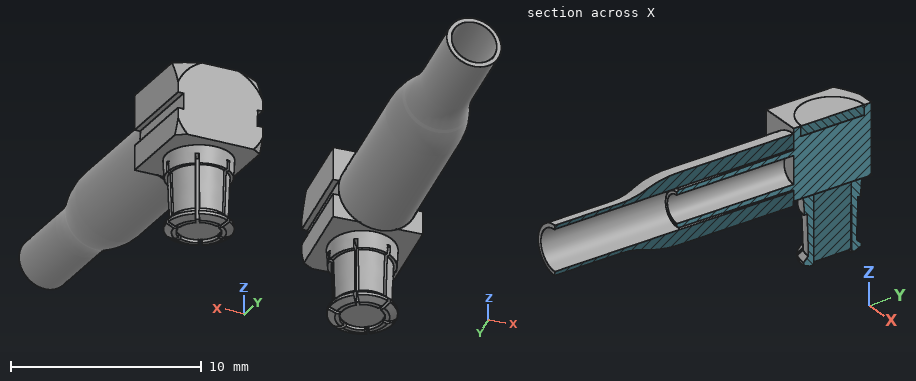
import cadquery as cq
import math


block_width = 5.0
block_height = 4.4
block_half = block_width / 2
block_top = block_half
block_bottom = block_top - block_height
back_cone_radius = 2.71
back_cone_corner_depth = 0.7
side_groove_height = 0.91
side_groove_depth = 0.32

cap_radius = 2.0
cap_thickness = 0.6

overall_length = 20.25
sleeve_radius = 2.19
sleeve_tail_radius = 1.52
sleeve_bore_radius = 1.25
sleeve_tail_length = 4.23
shoulder_arc_radius = 5.2
throat_arc_radius = 4.61
neck_angle = math.radians(20)
sleeve_start = -block_half
sleeve_end = block_half - overall_length

throat_end = sleeve_end + sleeve_tail_length
throat_start = throat_end + throat_arc_radius * math.sin(neck_angle)
throat_start_radius = sleeve_tail_radius + throat_arc_radius * (1 - math.cos(neck_angle))
shoulder_end_radius = sleeve_radius - shoulder_arc_radius * (1 - math.cos(neck_angle))
neck_cone_length = (shoulder_end_radius - throat_start_radius) / math.tan(neck_angle)
shoulder_end = throat_start + neck_cone_length
shoulder_start = shoulder_end + shoulder_arc_radius * math.sin(neck_angle)

stub_root_radius = 1.21
stub_nose_radius = 1.15
stub_tip_radius = 1.03
stub_bore_radius = 0.85
stub_nose_depth = 0.12
stub_length = sleeve_start - shoulder_start

collet_length = 4.2
collet_bore_radius = 1.2
collar_top_radius = 1.88
collar_bottom_radius = 1.82
collar_depth = 1.03
barrel_top_radius = 1.64
barrel_bottom_radius = 1.55
barrel_taper_depth = 3.35
lip_cone_depth = 3.55
lip_radius = 1.86
lip_depth = 3.85
lip_thickness = 0.18
collet_tip_radius = 1.44
slot_count = 6
slot_width = 0.2
slot_top_depth = 0.49

insulator_length = lip_depth + lip_thickness


def cylinder_down(radius, length, top):
    """Vertical cylinder hanging from the height `top`."""
    return cq.Workplane("XY").workplane(offset=top).circle(radius).extrude(-length)


def cylinder_to_cable(radius, length, start):
    """Cylinder on the cable axis running from Y = start toward -Y."""
    return cq.Workplane("XZ", origin=(0, start, 0)).circle(radius).extrude(length)


def make_back_cone():
    """Turned envelope whose conical back end trims the block corners."""
    corner_radius = math.hypot(block_half, block_top)
    envelope_radius = corner_radius + 0.2
    slope = back_cone_corner_depth / (corner_radius - back_cone_radius)
    cone_depth = slope * (envelope_radius - back_cone_radius)
    return (
        cq.Workplane("XY")
        .moveTo(0, -block_half)
        .lineTo(envelope_radius, -block_half)
        .lineTo(envelope_radius, block_half - cone_depth)
        .lineTo(back_cone_radius, block_half)
        .lineTo(0, block_half)
        .close()
        .revolve(360, (0, 0), (0, 1))
    )


def make_stub():
    """Slightly tapered crimp stub with a bevelled nose."""
    stub_end = sleeve_start - stub_length
    return (
        cq.Workplane("XY")
        .moveTo(0, sleeve_start)
        .lineTo(stub_root_radius, sleeve_start)
        .lineTo(stub_nose_radius, stub_end + stub_nose_depth)
        .lineTo(stub_tip_radius, stub_end)
        .lineTo(0, stub_end)
        .close()
        .revolve(360, (0, 0), (0, 1))
    )


def make_housing():
    block = cq.Workplane("XY").box(block_width, block_width, block_height)
    block = block.translate((0, 0, block_top - block_height / 2))
    housing = block.intersect(make_back_cone())
    for side in (-1, 1):
        groove = cq.Workplane("XY").box(2 * side_groove_depth, block_width, side_groove_height)
        housing = housing.cut(groove.translate((side * block_half, 0, 0)))
    stub_bore = cylinder_to_cable(stub_bore_radius, stub_length, sleeve_start)
    cap_recess = cylinder_down(cap_radius, cap_thickness, block_top)
    return housing.union(make_stub()).cut(stub_bore).cut(cap_recess)


def make_cap():
    return cylinder_down(cap_radius, cap_thickness, block_top)


def make_sleeve():
    half_angle = neck_angle / 2
    shoulder_middle = (
        sleeve_radius - shoulder_arc_radius * (1 - math.cos(half_angle)),
        shoulder_start - shoulder_arc_radius * math.sin(half_angle),
    )
    throat_middle = (
        sleeve_tail_radius + throat_arc_radius * (1 - math.cos(half_angle)),
        throat_end + throat_arc_radius * math.sin(half_angle),
    )
    return (
        cq.Workplane("XY")
        .moveTo(sleeve_bore_radius, sleeve_start)
        .lineTo(sleeve_radius, sleeve_start)
        .lineTo(sleeve_radius, shoulder_start)
        .threePointArc(shoulder_middle, (shoulder_end_radius, shoulder_end))
        .lineTo(throat_start_radius, throat_start)
        .threePointArc(throat_middle, (sleeve_tail_radius, throat_end))
        .lineTo(sleeve_tail_radius, sleeve_end)
        .lineTo(sleeve_bore_radius, sleeve_end)
        .close()
        .revolve(360, (0, 0), (0, 1))
    )


def make_collet():
    collet = (
        cq.Workplane("XZ")
        .moveTo(collet_bore_radius, 0)
        .lineTo(collar_top_radius, 0)
        .lineTo(collar_bottom_radius, -collar_depth)
        .lineTo(barrel_top_radius, -collar_depth)
        .lineTo(barrel_bottom_radius, -barrel_taper_depth)
        .lineTo(barrel_bottom_radius, -lip_cone_depth)
        .lineTo(lip_radius, -lip_depth)
        .lineTo(lip_radius, -lip_depth - lip_thickness)
        .lineTo(collet_tip_radius, -collet_length)
        .lineTo(collet_bore_radius, -collet_length)
        .close()
        .revolve(360, (0, 0), (0, 1))
    )
    slot = (
        cq.Workplane("XY")
        .box(2 * lip_radius, slot_width, collet_length - slot_top_depth, centered=(False, True, False))
        .translate((0, 0, -collet_length))
    )
    for index in range(slot_count):
        collet = collet.cut(slot.rotate((0, 0, 0), (0, 0, 1), index * 360 / slot_count))
    return collet.translate((0, 0, block_bottom))


def make_insulator():
    return cylinder_down(collet_bore_radius, insulator_length, block_bottom)


housing = make_housing()
cap = make_cap()
sleeve = make_sleeve()
collet = make_collet()
insulator = make_insulator()

result = cq.Compound.makeCompound([housing.val(), cap.val(), sleeve.val(), collet.val(), insulator.val()])